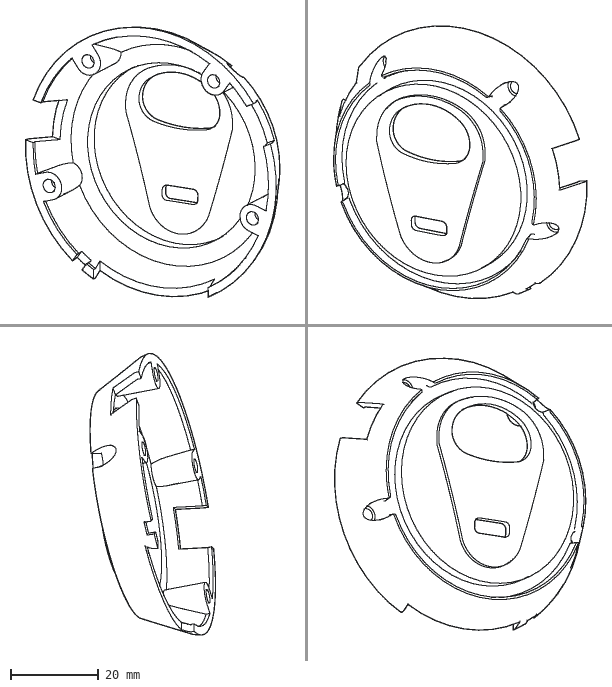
import cadquery as cq
import math

rim_radius = 32.9
housing_height = 12.8
cone_top_radius = 26.8
cone_slope = 0.51
rim_fillet = 3.0
rim_bore_radius = 30.85
rim_bore_depth = 0.9
cavity_radius = 26.3
cavity_depth = 9.75

groove_floor_radius = 25.85
groove_mouth_radius = 26.25
groove_floor = 10.5
drum_radius = 23.1
drum_bore_radius = 22.0
drum_height = 13.5
dome_radius = 184.25
dome_thickness = 0.8

pad_crown = 15.9
pad_head_half_width = 14.0
pad_head_z = 7.5
pad_head_arc_z = 9.2
pad_top_z = 20.65
pad_top_radius = 18.4
pad_foot_half_width = 7.75
pad_foot_z = -14.3
pad_bottom_z = -19.7

window_half_width = 10.6
window_middle_z = 10.85
window_top_z = 18.9
window_top_radius = 13.15
window_bottom_z = 5.2
window_bottom_radius = 28.95
slot_width = 9.35
slot_height = 3.55
slot_z = -10.5
slot_corner = 1.25

boss_circle_radius = 28.0
boss_pitch = 72
boss_angles = [-18 + boss_pitch * step for step in range(4)]
boss_radius = 3.3
screw_hole_radius = 1.6
pocket_radius = 2.25
pocket_floor = 3.95
pocket_edge_fillet = 0.6

side_notch_angles = [26.2, 168.6]
side_notch_width = 10.0
side_notch_depth = 7.05
key_notch_angle = 234
key_notch_width = 3.1
key_notch_depth = 1.8
bottom_cut_angle = -90
bottom_cut_width = 30.0
bottom_cut_depth = 3.0

reach = 2 * rim_radius
tolerance = 0.005


def revolved(profile):
    """Solid of revolution around the Y axis from a profile drawn as (radius, height)."""
    return profile.close().revolve(360, (0, 0, 0), (0, 1, 0))


def dome_y(crown, radius):
    """Height of a dome with its top at Y = `crown`, at a distance from the Y axis."""
    return crown - dome_radius + math.sqrt(dome_radius**2 - radius**2)


def domed_disc(radius, bottom, crown):
    """Disc with a domed top, around the Y axis."""
    return revolved(
        cq.Workplane("XY")
        .moveTo(0, bottom)
        .lineTo(radius, bottom)
        .lineTo(radius, dome_y(crown, radius))
        .threePointArc((radius / 2, dome_y(crown, radius / 2)), (0, crown))
    )


def column(radius, angle, bottom, top):
    """Round column along Y on the screw circle."""
    x = boss_circle_radius * math.cos(math.radians(angle))
    z = boss_circle_radius * math.sin(math.radians(angle))
    cylinder = cq.Solid.makeCylinder(radius, top - bottom, cq.Vector(x, bottom, z), cq.Vector(0, 1, 0))
    return cq.Workplane(cylinder)


def radial_bar(start, width, height, angle):
    """Bar from Y = 0 up, running outwards from radius `start` at `angle` in the XZ plane."""
    bar = cq.Workplane("XY").box(reach, height, width, centered=(False, False, True))
    return bar.translate((start, 0, 0)).rotate((0, 0, 0), (0, 1, 0), -angle)


drum_crown = drum_height + dome_radius - math.sqrt(dome_radius**2 - drum_radius**2)
inner_crown = drum_crown - dome_thickness


def mirrored(point):
    return (-point[0], point[1])


def rounded_half(half_width, middle_z, edge_z, edge_radius):
    """Right-hand points of a rounded outline that leaves (half_width, middle_z) straight up or down.

    Returns the middle of the corner arc and the point where it blends into the edge arc,
    which has `edge_radius` and crosses X = 0 at `edge_z`.
    """
    side = math.copysign(1, edge_z - middle_z)
    drop = edge_radius - abs(edge_z - middle_z)
    corner = (edge_radius**2 - half_width**2 - drop**2) / (2 * (edge_radius - half_width))
    corner_x = half_width - corner
    joint_angle = math.atan2(drop, corner_x)
    return [
        (corner_x + corner * math.cos(turn), middle_z + side * corner * math.sin(turn))
        for turn in (joint_angle / 2, joint_angle)
    ]


def pad_prism():
    """The pad's outline, carried along Y through the whole part."""
    corner, joint = rounded_half(pad_head_half_width, pad_head_arc_z, pad_top_z, pad_top_radius)
    head_end = (pad_head_half_width, pad_head_arc_z)
    return (
        cq.Workplane("XZ")
        .moveTo(*head_end)
        .threePointArc(corner, joint)
        .threePointArc((0, pad_top_z), mirrored(joint))
        .threePointArc(mirrored(corner), mirrored(head_end))
        .lineTo(-pad_head_half_width, pad_head_z)
        .lineTo(-pad_foot_half_width, pad_foot_z)
        .threePointArc((0, pad_bottom_z), (pad_foot_half_width, pad_foot_z))
        .lineTo(pad_head_half_width, pad_head_z)
        .close()
        .extrude(-reach)
    )


def window_prism():
    top_corner, top_joint = rounded_half(window_half_width, window_middle_z, window_top_z, window_top_radius)
    bottom_corner, bottom_joint = rounded_half(
        window_half_width, window_middle_z, window_bottom_z, window_bottom_radius
    )
    right_end = (window_half_width, window_middle_z)
    return (
        cq.Workplane("XZ")
        .moveTo(*right_end)
        .threePointArc(top_corner, top_joint)
        .threePointArc((0, window_top_z), mirrored(top_joint))
        .threePointArc(mirrored(top_corner), mirrored(right_end))
        .threePointArc(mirrored(bottom_corner), mirrored(bottom_joint))
        .threePointArc((0, window_bottom_z), bottom_joint)
        .threePointArc(bottom_corner, right_end)
        .close()
        .extrude(-reach)
    )


def slot_prism():
    slot = cq.Workplane("XZ").center(0, slot_z).rect(slot_width, slot_height).extrude(-reach)
    return slot.edges("|Y").fillet(slot_corner)


def make_pad():
    layer = domed_disc(drum_bore_radius, 0, pad_crown).cut(domed_disc(drum_bore_radius, 0, inner_crown))
    return layer.intersect(pad_prism()).cut(window_prism()).cut(slot_prism())


def y_cylinder(radius, bottom, top):
    """Cylinder around the Y axis."""
    cylinder = cq.Solid.makeCylinder(radius, top - bottom, cq.Vector(0, bottom, 0), cq.Vector(0, 1, 0))
    return cq.Workplane(cylinder)


def make_cone():
    """Solid conical form with a rounded rim."""
    straight_height = housing_height - (rim_radius - cone_top_radius) / cone_slope
    cone = revolved(
        cq.Workplane("XY")
        .lineTo(rim_radius, 0)
        .lineTo(rim_radius, straight_height)
        .lineTo(cone_top_radius, housing_height)
        .lineTo(0, housing_height)
    )
    shoulder = cq.selectors.BoxSelector(
        (-reach, straight_height / 2, -reach), (reach, straight_height * 2, reach), boundingbox=True
    )
    return cone.edges(shoulder).fillet(rim_fillet)


def make_grooved_block():
    """Plain cylinder with the ring groove and the screw pockets, rounded where these meet."""
    groove = revolved(
        cq.Workplane("XY")
        .moveTo(0, groove_floor)
        .lineTo(groove_floor_radius, groove_floor)
        .lineTo(groove_mouth_radius, housing_height)
        .lineTo(0, housing_height)
    )
    block = y_cylinder(rim_radius, 0, housing_height).cut(groove)
    for angle in boss_angles:
        block = block.cut(column(pocket_radius, angle, pocket_floor, housing_height))
    innermost = boss_circle_radius - pocket_radius - tolerance
    outermost = groove_mouth_radius + tolerance
    meeting_edges = [
        edge
        for edge in block.edges().vals()
        if innermost < math.hypot(edge.Center().x, edge.Center().z) < outermost
        and groove_floor - tolerance < edge.Center().y < housing_height - tolerance
    ]
    return cq.Workplane(block.val().fillet(pocket_edge_fillet, meeting_edges))


def make_cavity():
    """Hollow of the housing, less the screw bosses that stand in it."""
    cavity = revolved(
        cq.Workplane("XY")
        .lineTo(rim_bore_radius, 0)
        .lineTo(rim_bore_radius, rim_bore_depth)
        .lineTo(cavity_radius, cavity_depth)
        .lineTo(0, cavity_depth)
    )
    for angle in boss_angles:
        cavity = cavity.cut(column(boss_radius, angle, 0, cavity_depth))
        cavity = cavity.cut(radial_bar(boss_circle_radius, 2 * boss_radius, cavity_depth, angle))
    return cavity.union(domed_disc(drum_bore_radius, cavity_depth, inner_crown))


def make_housing():
    housing = make_cone().intersect(make_grooved_block())
    housing = housing.union(domed_disc(drum_radius, cavity_depth, drum_crown))
    housing = housing.cut(make_cavity())
    for angle in boss_angles:
        housing = housing.cut(column(screw_hole_radius, angle, 0, pocket_floor))
    for angle in side_notch_angles:
        housing = housing.cut(radial_bar(0, side_notch_width, side_notch_depth, angle))
    housing = housing.cut(radial_bar(0, key_notch_width, key_notch_depth, key_notch_angle))
    housing = housing.cut(radial_bar(0, bottom_cut_width, bottom_cut_depth, bottom_cut_angle))
    return housing.cut(pad_prism())


housing = make_housing()
pad = make_pad()
result = cq.Compound.makeCompound([housing.solids().val(), pad.solids().val()])